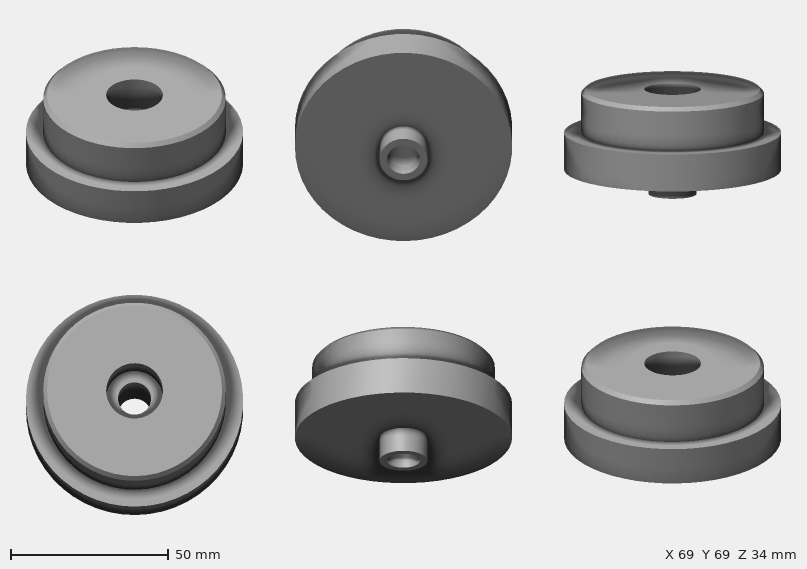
import cadquery as cq

flange_diameter = 69.0
flange_height = 12.0

boss_diameter = 58.0
boss_height = 14.0
boss_chamfer = 1.25

spigot_diameter = 15.2
spigot_length = 8.0

bore_diameter = 10.5
counterbore_diameter = 18.0
counterbore_depth = 11.0

top_z = flange_height + boss_height


def cylinder(diameter, bottom_z, height):
    """Cylinder on the Z axis, rising from bottom_z."""
    return cq.Workplane("XY").workplane(offset=bottom_z).circle(diameter / 2).extrude(height)


flange = cylinder(flange_diameter, 0, flange_height)
boss = cylinder(boss_diameter, flange_height, boss_height).faces(">Z").chamfer(boss_chamfer)
spigot = cylinder(spigot_diameter, -spigot_length, spigot_length)

bore = cylinder(bore_diameter, -spigot_length, spigot_length + top_z)
counterbore = cylinder(counterbore_diameter, top_z - counterbore_depth, counterbore_depth)

result = flange.union(boss).union(spigot).cut(bore).cut(counterbore)